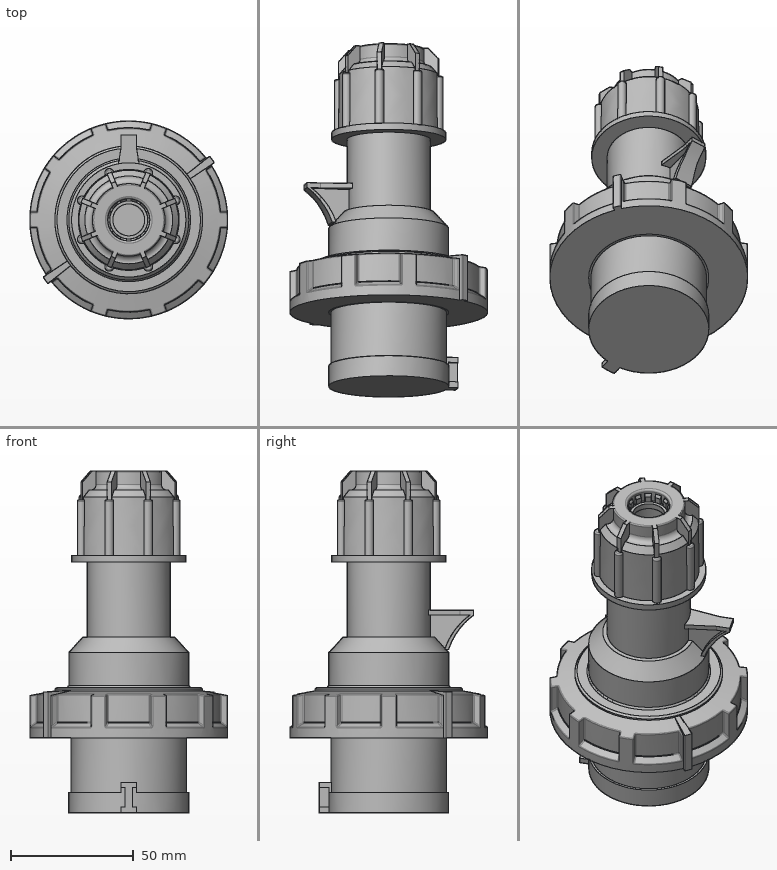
import cadquery as cq
import math

TOTAL_HEIGHT = 139.5

BARREL_RADIUS = 23.6
BODY_RADIUS = 24.5
BAND_HEIGHT = 8.4
COLLAR_RADIUS = 25.2
COLLAR_HEIGHT = 0.8
BODY_TOP = 65.4
SHOULDER_TOP = 71.7
SHOULDER_RADIUS = 18.75
TUBE_RADIUS = 17.0
NECK_RADIUS = 15.0
NECK_TOP = 131.4
CABLE_BORE_RADIUS = 7.75
FINGER_TOP = 137.7
FINGER_TIP_DROP = 1.2
FINGER_COUNT = 12
FINGER_GAP = 1.7

KEY_REACH = 28.4
KEY_WIDTH = 6.2
KEY_WEB_WIDTH = 3.0
KEY_HEIGHT = 12.5
KEY_LOWER_FLANGE = 2.4
KEY_UPPER_FLANGE = 2.1

HOOK_TOP = 82.7
HOOK_PLATE_THICKNESS = 2.05
HOOK_REACH = 34.65
HOOK_TAPER_START = 29.1
HOOK_TIP_WIDTH = 6.4
HOOK_ROOT_WIDTH = 10.8
HOOK_ROOT_Y = 15.5
HOOK_WEB_WIDTH = 3.0
HOOK_STRIP_THICKNESS = 1.6
HOOK_FOOT_Y = 24.4
HOOK_FOOT_Z = 66.6
HOOK_MID_Y = 28.7
HOOK_MID_Z = 74.8

RING_BOTTOM = 30.65
RING_RADIUS = 40.365
RING_EDGE_Z = 47.9
RIM_RADIUS = 30.15
RIM_BOTTOM = 49.8
RIM_TOP = 51.2
RIM_CHAMFER_WIDTH = 0.9
RIM_CHAMFER_HEIGHT = 0.7
GRIP_COUNT = 10
POCKET_FLOOR_RADIUS = 37.5
POCKET_LEDGE_OUTER_Z = 34.9
POCKET_LEDGE_INNER_Z = 36.8
LAND_WIDTH = 6.3
MARKED_LAND_WIDTH = 4.2
POCKET_EDGE_ROUND = 0.4
MARK_RIB_ANGLES = (36, 216)
MARK_RIB_EDGE_ROUND = 0.3
MARK_RIB_REACH = 42.0
MARK_RIB_INNER_END = RIM_RADIUS - 0.5
MARK_RIB_INNER_WIDTH = 2.3
MARK_RIB_OUTER_WIDTH = 3.3
MARK_RIB_INNER_Z = 50.0
MARK_RIB_OUTER_Z = 49.3

NUT_BOTTOM = 102.3
NUT_FLANGE_RADIUS = 23.3
NUT_FLANGE_TOP = 105.0
NUT_BASE_RADIUS = 20.6
NUT_TOP_RADIUS = 20.3
NUT_SIDE_TOP = 128.9
NUT_STEP_RADIUS = 17.9
NUT_STEP_Z = 131.7
HUB_RADIUS = 14.8
HUB_EDGE_ROUND = 0.5
HUB_BOTTOM = 133.9
NUT_COVE_MID_RADIUS = 15.6
NUT_COVE_MID_Z = 132.3
NUT_BORE_RADIUS = 17.15 / 2
NUT_MOUTH_ROUND = 0.95
NUT_RIB_COUNT = 8
NUT_RIB_REACH = 20.7
NUT_RIB_TOP_REACH = 16.5
NUT_RIB_SLOPE_BOTTOM = 135.0
NUT_RIB_THICKNESS = 1.9
NUT_GRIP_RADIUS = 1.8
NUT_GRIP_TOP = 127.7
NUT_GRIP_ROUND = 0.6

SEAL_TOP = 133.9
SEAL_BORE_RADIUS = 6.5

EMBED = 1.0


def ring_angles(count, start=0.0):
    """Angles of `count` equally spaced features, in degrees."""
    return [start + 360.0 * i / count for i in range(count)]


def turn(feature, angle):
    """Copy of a feature turned about the Z axis."""
    return feature.rotate((0, 0, 0), (0, 0, 1), angle)


def turned(profile):
    """Solid of revolution about Z from a closed (radius, height) outline."""
    return cq.Workplane("XZ").polyline(profile).close().revolve(360, (0, 0, 0), (0, 1, 0))


def cylinder(radius, bottom, top):
    return cq.Workplane("XY").workplane(offset=bottom).circle(radius).extrude(top - bottom)


def centred_box(x_size, y_start, y_end, bottom, top):
    """Box centred on the YZ plane."""
    block = cq.Workplane("XY").box(x_size, y_end - y_start, top - bottom, centered=(True, False, False))
    return block.translate((0, y_start, bottom))


def housing_shell():
    return turned([
        (0, 0),
        (BODY_RADIUS, 0),
        (BODY_RADIUS, BAND_HEIGHT),
        (BARREL_RADIUS, BAND_HEIGHT),
        (BARREL_RADIUS, RING_BOTTOM),
        (BODY_RADIUS, RING_BOTTOM),
        (BODY_RADIUS, RIM_TOP),
        (COLLAR_RADIUS, RIM_TOP),
        (BODY_RADIUS, RIM_TOP + COLLAR_HEIGHT),
        (BODY_RADIUS, BODY_TOP),
        (SHOULDER_RADIUS, SHOULDER_TOP),
        (TUBE_RADIUS, SHOULDER_TOP),
        (TUBE_RADIUS, NUT_BOTTOM),
        (NECK_RADIUS, NUT_BOTTOM),
        (NECK_RADIUS, NECK_TOP),
        (NUT_BORE_RADIUS, NECK_TOP),
        (NUT_BORE_RADIUS, FINGER_TOP),
        (CABLE_BORE_RADIUS, FINGER_TOP - FINGER_TIP_DROP),
        (CABLE_BORE_RADIUS, NECK_TOP),
        (0, NECK_TOP),
    ])


def barrel_key():
    key_footprint = cylinder(KEY_REACH, 0, KEY_HEIGHT)
    blank = centred_box(KEY_WIDTH, -KEY_REACH, -BARREL_RADIUS + EMBED, 0, KEY_HEIGHT).intersect(key_footprint)
    side_recess = turned([
        (BODY_RADIUS, KEY_LOWER_FLANGE),
        (KEY_REACH + EMBED, KEY_LOWER_FLANGE),
        (KEY_REACH + EMBED, KEY_HEIGHT - KEY_UPPER_FLANGE),
        (BODY_RADIUS, KEY_HEIGHT - KEY_UPPER_FLANGE),
    ])
    web = centred_box(KEY_WEB_WIDTH, -KEY_REACH, -BARREL_RADIUS, 0, KEY_HEIGHT)
    return blank.cut(side_recess.cut(web))


def hook_arc_outline(inset):
    """Side outline (y, z) bounded below by the curved strip, moved inwards by `inset`."""
    tip_y = HOOK_REACH - inset
    tip_z = HOOK_TOP - HOOK_PLATE_THICKNESS
    foot_y = HOOK_FOOT_Y - inset
    mid = (HOOK_MID_Y - inset, HOOK_MID_Z)
    return (
        cq.Workplane("YZ")
        .moveTo(0, HOOK_TOP)
        .lineTo(tip_y, HOOK_TOP)
        .lineTo(tip_y, tip_z)
        .threePointArc(mid, (foot_y, HOOK_FOOT_Z))
        .lineTo(0, HOOK_FOOT_Z)
        .close()
        .extrude(HOOK_ROOT_WIDTH, both=True)
    )


def cover_hook():
    plan = (
        cq.Workplane("XY")
        .workplane(offset=HOOK_FOOT_Z)
        .polyline([
            (-HOOK_ROOT_WIDTH / 2, HOOK_ROOT_Y),
            (-HOOK_TIP_WIDTH / 2, HOOK_TAPER_START),
            (-HOOK_TIP_WIDTH / 2, HOOK_REACH),
            (HOOK_TIP_WIDTH / 2, HOOK_REACH),
            (HOOK_TIP_WIDTH / 2, HOOK_TAPER_START),
            (HOOK_ROOT_WIDTH / 2, HOOK_ROOT_Y),
        ])
        .close()
        .extrude(HOOK_TOP - HOOK_FOOT_Z)
    )
    full = hook_arc_outline(0).intersect(plan)
    under_plate = centred_box(
        2 * HOOK_ROOT_WIDTH, 0, HOOK_REACH, HOOK_FOOT_Z - EMBED, HOOK_TOP - HOOK_PLATE_THICKNESS
    )
    web = centred_box(HOOK_WEB_WIDTH, 0, HOOK_REACH, HOOK_FOOT_Z - EMBED, HOOK_TOP)
    side_recess = hook_arc_outline(HOOK_STRIP_THICKNESS).intersect(under_plate).cut(web)
    return full.cut(side_recess)


def make_housing():
    housing = housing_shell().union(barrel_key()).union(cover_hook())
    housing = housing.cut(cylinder(CABLE_BORE_RADIUS, SHOULDER_TOP, TOTAL_HEIGHT))
    for angle in ring_angles(FINGER_COUNT):
        gap = centred_box(FINGER_GAP, SEAL_BORE_RADIUS, NECK_RADIUS, SEAL_TOP, TOTAL_HEIGHT)
        housing = housing.cut(turn(gap, angle))
    return housing


def grip_pockets():
    """All recesses around the ring, separated by parallel-sided lands."""
    beyond = RING_RADIUS + EMBED
    ledge_slope = (POCKET_LEDGE_INNER_Z - POCKET_LEDGE_OUTER_Z) / (RING_RADIUS - POCKET_FLOOR_RADIUS)
    pockets = turned([
        (POCKET_FLOOR_RADIUS, POCKET_LEDGE_INNER_Z),
        (beyond, POCKET_LEDGE_OUTER_Z - ledge_slope * EMBED),
        (beyond, RIM_TOP),
        (POCKET_FLOOR_RADIUS, RIM_TOP),
    ])
    for angle in ring_angles(GRIP_COUNT):
        width = MARKED_LAND_WIDTH if round(angle) in MARK_RIB_ANGLES else LAND_WIDTH
        land = centred_box(width, RIM_RADIUS, RING_RADIUS + 2 * EMBED, RING_BOTTOM, RIM_TOP + EMBED)
        pockets = pockets.cut(turn(land, angle - 90))
    return pockets


def pocket_edges(ring):
    """Edges of the recesses and lands: those centred on the grip height near the ring's outside."""
    return [
        edge
        for edge in ring.edges().vals()
        if math.hypot(edge.Center().x, edge.Center().y) > (RIM_RADIUS + POCKET_FLOOR_RADIUS) / 2
        and RING_BOTTOM < edge.Center().z < RIM_BOTTOM
    ]


def marking_rib(angle):
    side = (
        cq.Workplane("XZ")
        .polyline([
            (MARK_RIB_INNER_END, RING_BOTTOM),
            (MARK_RIB_REACH, RING_BOTTOM),
            (MARK_RIB_REACH, MARK_RIB_OUTER_Z),
            (MARK_RIB_INNER_END, MARK_RIB_INNER_Z),
        ])
        .close()
        .extrude(MARK_RIB_OUTER_WIDTH, both=True)
    )
    plan = (
        cq.Workplane("XY")
        .workplane(offset=RING_BOTTOM)
        .polyline([
            (MARK_RIB_INNER_END, -MARK_RIB_INNER_WIDTH / 2),
            (MARK_RIB_REACH, -MARK_RIB_OUTER_WIDTH / 2),
            (MARK_RIB_REACH, MARK_RIB_OUTER_WIDTH / 2),
            (MARK_RIB_INNER_END, MARK_RIB_INNER_WIDTH / 2),
        ])
        .close()
        .extrude(MARK_RIB_INNER_Z - RING_BOTTOM)
        .edges("|Z and >X")
        .fillet(MARK_RIB_EDGE_ROUND)
    )
    return turn(side.intersect(plan), angle)


def make_coupling_ring():
    ring = turned([
        (BODY_RADIUS, RING_BOTTOM),
        (RING_RADIUS, RING_BOTTOM),
        (RING_RADIUS, RING_EDGE_Z),
        (RIM_RADIUS, RIM_BOTTOM),
        (RIM_RADIUS, RIM_TOP - RIM_CHAMFER_HEIGHT),
        (RIM_RADIUS - RIM_CHAMFER_WIDTH, RIM_TOP),
        (BODY_RADIUS, RIM_TOP),
    ])
    ring = ring.cut(grip_pockets())
    ring = ring.newObject(pocket_edges(ring)).fillet(POCKET_EDGE_ROUND)
    for angle in MARK_RIB_ANGLES:
        ring = ring.union(marking_rib(angle))
    return ring


def nut_shell():
    return (
        cq.Workplane("XZ")
        .moveTo(NECK_RADIUS, NUT_BOTTOM)
        .lineTo(NUT_FLANGE_RADIUS, NUT_BOTTOM)
        .lineTo(NUT_FLANGE_RADIUS, NUT_FLANGE_TOP)
        .lineTo(NUT_BASE_RADIUS, NUT_FLANGE_TOP)
        .lineTo(NUT_TOP_RADIUS, NUT_SIDE_TOP)
        .lineTo(NUT_STEP_RADIUS, NUT_STEP_Z)
        .threePointArc((NUT_COVE_MID_RADIUS, NUT_COVE_MID_Z), (HUB_RADIUS, HUB_BOTTOM))
        .lineTo(HUB_RADIUS, TOTAL_HEIGHT - HUB_EDGE_ROUND)
        .radiusArc((HUB_RADIUS - HUB_EDGE_ROUND, TOTAL_HEIGHT), -HUB_EDGE_ROUND)
        .lineTo(NUT_BORE_RADIUS + NUT_MOUTH_ROUND, TOTAL_HEIGHT)
        .radiusArc((NUT_BORE_RADIUS, TOTAL_HEIGHT - NUT_MOUTH_ROUND), -NUT_MOUTH_ROUND)
        .lineTo(NUT_BORE_RADIUS, NECK_TOP)
        .lineTo(NECK_RADIUS, NECK_TOP)
        .close()
        .revolve(360, (0, 0, 0), (0, 1, 0))
    )


def nut_rib():
    return (
        cq.Workplane("XZ")
        .polyline([
            (HUB_RADIUS - EMBED, HUB_BOTTOM),
            (NUT_STEP_RADIUS - EMBED, NUT_GRIP_TOP),
            (NUT_RIB_REACH, NUT_GRIP_TOP),
            (NUT_RIB_REACH, NUT_RIB_SLOPE_BOTTOM),
            (NUT_RIB_TOP_REACH, TOTAL_HEIGHT),
            (HUB_RADIUS - EMBED, TOTAL_HEIGHT),
        ])
        .close()
        .extrude(NUT_RIB_THICKNESS / 2, both=True)
    )


def nut_grip():
    bar = cylinder(NUT_GRIP_RADIUS, NUT_FLANGE_TOP, NUT_GRIP_TOP)
    return bar.faces(">Z").edges().fillet(NUT_GRIP_ROUND).translate((NUT_RIB_REACH, 0, 0))


def make_gland_nut():
    nut = nut_shell()
    for angle in ring_angles(NUT_RIB_COUNT, 180 / NUT_RIB_COUNT):
        for feature in (nut_rib(), nut_grip()):
            nut = nut.union(turn(feature, angle))
    return nut


def make_cable_seal():
    sleeve = cylinder(CABLE_BORE_RADIUS, NECK_TOP, SEAL_TOP)
    return sleeve.cut(cylinder(SEAL_BORE_RADIUS, NECK_TOP, SEAL_TOP))


housing = make_housing()
coupling_ring = make_coupling_ring()
gland_nut = make_gland_nut()
cable_seal = make_cable_seal()

result = cq.Compound.makeCompound([
    *housing.solids().vals(),
    *coupling_ring.solids().vals(),
    *gland_nut.solids().vals(),
    *cable_seal.solids().vals(),
])